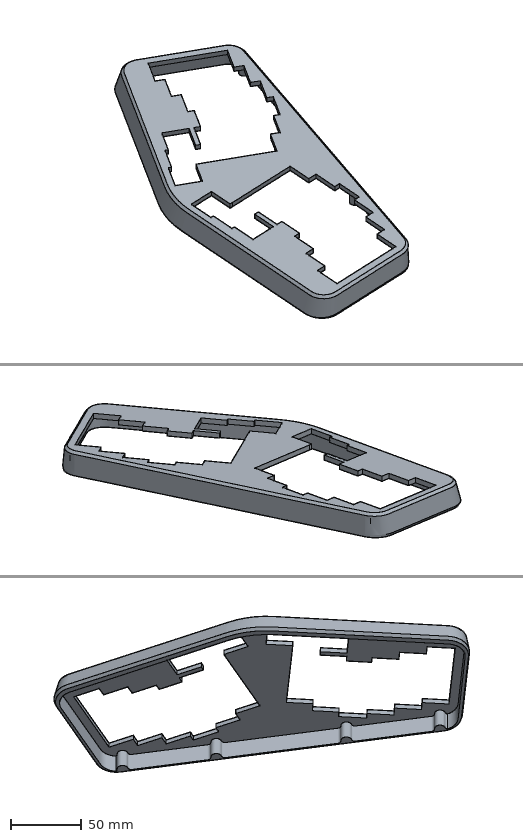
import math

import cadquery as cq

WIDTH = 299.88
DEPTH = 129.06
HEIGHT = 18.6

SPLAY = 15.0
SIDE_CORNER_RADIUS = 16.5
FRONT_NOSE_RADIUS = 66.0
FOOT_HEIGHT = 2.0
FOOT_INSET = 1.0
WALL_INSET = 2.4
TOP_CHAMFER = 2.0

WALL_THICKNESS = 1.2
PLATE_THICKNESS = 4.0

KEY_PITCH = 19.05
KEY_CLEARANCE = 20.0
KEYS_PER_COLUMN = 3
OUTER_COLUMN_U = -122.35
COLUMN_MIDDLES_V = [-9.7, -2.45, 4.75, 9.45, 4.75, -2.45]
THUMB_KEYS = 3
THUMB_START_U = -46.1
THUMB_START_V = -37.95
THUMB_STEP_V = -2.4

BOSS_RADIUS = 3.9
BOSS_BLEND_RADIUS = 2.5
BOSS_DISTANCES = [47.0, 114.7]
BOSS_CENTER_TO_WALL = 1.5


def direction(angle):
    """Unit vector at an angle in degrees from +X."""
    return cq.Vector(math.cos(math.radians(angle)), math.sin(math.radians(angle)))


BACK = 90.0
LEFT_SIDE = 180.0 - SPLAY
LEFT_FRONT = 270.0 - SPLAY
RIGHT_FRONT = 270.0 + SPLAY
RIGHT_SIDE = 360.0 + SPLAY
BACK_AGAIN = 360.0 + BACK


def left_corner_centers():
    """Centers of the back left, front left and nose arcs, so that the walls are tangent to them."""
    nose = cq.Vector(0, FRONT_NOSE_RADIUS - DEPTH / 2)
    front_out = direction(LEFT_FRONT)
    front_x = SIDE_CORNER_RADIUS - WIDTH / 2
    front_reach = nose.dot(front_out) + FRONT_NOSE_RADIUS - SIDE_CORNER_RADIUS
    front = cq.Vector(front_x, (front_reach - front_x * front_out.x) / front_out.y)
    side_out = direction(LEFT_SIDE)
    back_y = DEPTH / 2 - SIDE_CORNER_RADIUS
    back = cq.Vector((front.dot(side_out) - back_y * side_out.y) / side_out.x, back_y)
    return back, front, nose


def outline(z, inset, shift):
    """Closed outline at height z, offset inwards and shifted towards the back."""
    back, front, nose = left_corner_centers()
    back_right = cq.Vector(-back.x, back.y)
    front_right = cq.Vector(-front.x, front.y)
    corners = [
        (back, SIDE_CORNER_RADIUS, BACK, LEFT_SIDE),
        (front, SIDE_CORNER_RADIUS, LEFT_SIDE, LEFT_FRONT),
        (nose, FRONT_NOSE_RADIUS, LEFT_FRONT, RIGHT_FRONT),
        (front_right, SIDE_CORNER_RADIUS, RIGHT_FRONT, RIGHT_SIDE),
        (back_right, SIDE_CORNER_RADIUS, RIGHT_SIDE, BACK_AGAIN),
    ]
    lift = cq.Vector(0, shift, z)
    arcs = []
    for center, radius, start, end in corners:
        angles = (start, (start + end) / 2, end)
        arcs.append([center + lift + direction(a) * (radius - inset) for a in angles])
    edges = []
    for arc, following in zip(arcs, arcs[1:] + arcs[:1]):
        edges.append(cq.Edge.makeThreePointArc(*arc))
        edges.append(cq.Edge.makeLine(arc[2], following[0]))
    return cq.Wire.assembleEdges(edges)


def layer(lower, upper):
    """Solid between two outlines."""
    return cq.Workplane(cq.Solid.makeLoft([outline(*lower), outline(*upper)], True))


def outer_body():
    chamfer_z = HEIGHT - TOP_CHAMFER
    bottom = (0, FOOT_INSET, FOOT_INSET)
    widest = (FOOT_HEIGHT, 0, 0)
    shoulder = (chamfer_z, WALL_INSET, WALL_INSET)
    top = (HEIGHT, WALL_INSET + TOP_CHAMFER, WALL_INSET)
    return layer(bottom, widest).union(layer(widest, shoulder)).union(layer(shoulder, top))


def cavity():
    """Straight-walled hollow under the plate, at the wall thickness from the shoulder outline."""
    inset = WALL_INSET + WALL_THICKNESS
    return layer((0, inset, WALL_INSET), (HEIGHT - PLATE_THICKNESS, inset, WALL_INSET))


def boss(x):
    """Upright round boss whose two sides blend into the inner face of the back wall."""
    wall_y = DEPTH / 2 - WALL_THICKNESS
    center = cq.Vector(x, wall_y - BOSS_CENTER_TO_WALL)
    blend_y = wall_y - BOSS_BLEND_RADIUS
    reach = BOSS_RADIUS + BOSS_BLEND_RADIUS
    blend_x = math.sqrt(reach**2 - (blend_y - center.y) ** 2)

    def side_points(side):
        """Wall point, mid point and boss point of one blend arc."""
        blend = cq.Vector(x + side * blend_x, blend_y)
        to_wall = cq.Vector(0, BOSS_BLEND_RADIUS)
        to_boss = (center - blend).normalized() * BOSS_BLEND_RADIUS
        halfway = (to_wall + to_boss).normalized() * BOSS_BLEND_RADIUS
        return [(blend + offset).toTuple()[:2] for offset in (to_wall, halfway, to_boss)]

    left_wall, left_mid, left_boss = side_points(-1)
    right_wall, right_mid, right_boss = side_points(1)
    embed_y = wall_y + WALL_THICKNESS / 2
    profile = (
        cq.Workplane()
        .moveTo(left_wall[0], embed_y)
        .lineTo(*left_wall)
        .threePointArc(left_mid, left_boss)
        .threePointArc((x, center.y - BOSS_RADIUS), right_boss)
        .threePointArc(right_mid, right_wall)
        .lineTo(right_wall[0], embed_y)
        .close()
    )
    return profile.extrude(HEIGHT - PLATE_THICKNESS)


def left_opening():
    """Opening for the left keys: one block per column of keys and one per thumb key."""
    column_length = (KEYS_PER_COLUMN - 1) * KEY_PITCH + KEY_CLEARANCE
    base = cq.Workplane().workplane(offset=HEIGHT - PLATE_THICKNESS)
    columns = [
        (OUTER_COLUMN_U + i * KEY_PITCH, v) for i, v in enumerate(COLUMN_MIDDLES_V)
    ]
    thumbs = [
        (THUMB_START_U + i * KEY_PITCH, THUMB_START_V + i * THUMB_STEP_V) for i in range(THUMB_KEYS)
    ]
    column_cut = base.pushPoints(columns).rect(KEY_CLEARANCE, column_length).extrude(PLATE_THICKNESS)
    thumb_cut = base.pushPoints(thumbs).rect(KEY_CLEARANCE, KEY_CLEARANCE).extrude(PLATE_THICKNESS)
    return column_cut.union(thumb_cut).rotate((0, 0, 0), (0, 0, 1), -SPLAY)


result = outer_body().cut(cavity())
for distance in BOSS_DISTANCES:
    result = result.union(boss(-distance)).union(boss(distance))
left = left_opening()
result = result.cut(left).cut(left.mirror("YZ"))